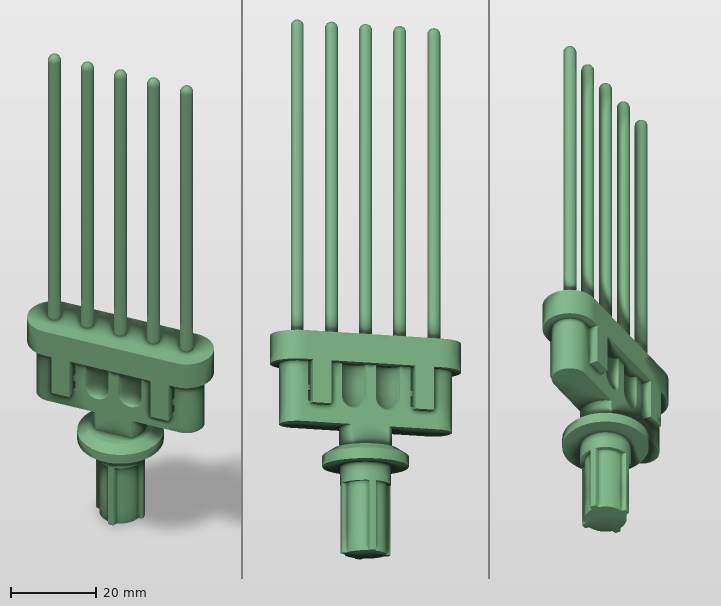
import cadquery as cq

total_height = 127.3
stem_step_z = 16.7
flange_bottom_z = 21.0
flange_edge_z = 23.5
flange_top_z = 25.1
barrel_bottom_z = 30.2
plate_bottom_z = 44.7
plate_top_z = 51.5

needle_count = 5
needle_pitch = 8.4
needle_diameter = 3.0
needle_head_diameter = 5.2
needle_head_cover = 0.4
row_length = (needle_count - 1) * needle_pitch

plate_length = 46.5
plate_width = plate_length - row_length
barrel_width = 8.5
barrel_length = row_length + barrel_width
barrel_face_y = barrel_width / 2

stem_diameter = 12.0
neck_diameter = 12.5
core_diameter = 9.9
stem_rib_tip_width = 1.4
stem_rib_root_width = 1.9
stem_rib_count = 4
flange_diameter = 20.4
flange_top_diameter = 15.7

flute_radius = 3.0
flute_axis_offset = 0.8
flute_end_z = 37.0
flute_places = (-needle_pitch / 2, needle_pitch / 2)

pad_width = 4.6
pad_bottom_z = 34.4
pad_places = (-3 * needle_pitch / 2, 3 * needle_pitch / 2)

pocket_width = 5.7
pocket_depth = 1.0
lower_pocket_z = (35.1, 37.7)
upper_pocket_z = (39.0, plate_bottom_z)


def block(x_size, y_size, bottom_z, top_z, x=0.0, y=0.0):
    """Upright box centred on (x, y)."""
    height = top_z - bottom_z
    return cq.Workplane("XY", origin=(x, y, bottom_z)).rect(x_size, y_size).extrude(height)


def disc(diameter, bottom_z, top_z, x=0.0):
    """Upright cylinder centred on (x, 0)."""
    height = top_z - bottom_z
    return cq.Workplane("XY", origin=(x, 0, bottom_z)).circle(diameter / 2).extrude(height)


def stadium(length, width, bottom_z, top_z):
    """Upright prism with round ends, long along X."""
    height = top_z - bottom_z
    return cq.Workplane("XY", origin=(0, 0, bottom_z)).slot2D(length, width).extrude(height)


def make_stem_ribs():
    """Ribs on the stem core that narrow outward and end flush with the collar."""
    tip_x = stem_diameter / 2
    root_x = core_diameter / 2
    rib_outline = [
        (0, -stem_rib_root_width / 2),
        (root_x, -stem_rib_root_width / 2),
        (tip_x, -stem_rib_tip_width / 2),
        (tip_x, stem_rib_tip_width / 2),
        (root_x, stem_rib_root_width / 2),
        (0, stem_rib_root_width / 2),
    ]
    rib = cq.Workplane("XY").polyline(rib_outline).close().extrude(stem_step_z)
    ribs = rib
    for turn in range(1, stem_rib_count):
        ribs = ribs.union(rib.rotate((0, 0, 0), (0, 0, 1), turn * 360 / stem_rib_count))
    return ribs.intersect(disc(stem_diameter, 0, stem_step_z))


def make_flange():
    """Round flange with a sloped upper rim."""
    flange = disc(flange_diameter, flange_bottom_z, flange_edge_z)
    slope = (
        cq.Workplane("XY", origin=(0, 0, flange_edge_z))
        .circle(flange_diameter / 2)
        .workplane(offset=flange_top_z - flange_edge_z)
        .circle(flange_top_diameter / 2)
        .loft()
    )
    return flange.union(slope)


def make_neck():
    """Round neck with flats in line with the barrel faces."""
    neck = disc(neck_diameter, flange_top_z, barrel_bottom_z)
    return neck.intersect(block(neck_diameter, barrel_width, flange_top_z, barrel_bottom_z))


def make_stem():
    """Ribbed stem with its plain collar, flange and neck."""
    core = disc(core_diameter, 0, stem_step_z)
    collar = disc(stem_diameter, stem_step_z, flange_bottom_z)
    return core.union(make_stem_ribs()).union(collar).union(make_flange()).union(make_neck())


def make_flute(x, y):
    """Cutter for an upright flute with a ball-shaped lower end."""
    ball = cq.Workplane("XY", origin=(x, y, flute_end_z)).sphere(flute_radius)
    channel = cq.Workplane("XY", origin=(x, y, flute_end_z)).circle(flute_radius)
    return channel.extrude(plate_bottom_z - flute_end_z).union(ball)


def make_pad(x, side):
    """Pad that stands out of one barrel face, flush with the edge of the plate."""
    back_y = barrel_face_y - pocket_depth
    front_y = plate_width / 2
    middle_y = side * (back_y + front_y) / 2
    return block(pad_width, front_y - back_y, pad_bottom_z, plate_bottom_z, x, middle_y)


def make_barrel():
    """Lower body: fluted, padded barrel on its stem."""
    barrel = stadium(barrel_length, barrel_width, barrel_bottom_z, plate_bottom_z)
    barrel = barrel.union(make_stem())
    for side in (-1, 1):
        face_y = side * barrel_face_y
        for x in flute_places:
            barrel = barrel.cut(make_flute(x, face_y + side * flute_axis_offset))
        for x in pad_places:
            for bottom_z, top_z in (lower_pocket_z, upper_pocket_z):
                barrel = barrel.cut(block(pocket_width, 2 * pocket_depth, bottom_z, top_z, x, face_y))
            barrel = barrel.union(make_pad(x, side))
    return barrel


def make_needle(x):
    """Round-tipped needle with a head that is held under the top of the plate."""
    tip_radius = needle_diameter / 2
    tip_base_z = total_height - tip_radius
    shank = disc(needle_diameter, plate_bottom_z, tip_base_z, x)
    tip = cq.Workplane("XY", origin=(x, 0, tip_base_z)).sphere(tip_radius)
    head = disc(needle_head_diameter, plate_bottom_z, plate_top_z - needle_head_cover, x)
    return shank.union(tip).union(head)


def make_plate(needles):
    """Cover plate with a fitting hole for every needle."""
    plate = stadium(plate_length, plate_width, plate_bottom_z, plate_top_z)
    for needle in needles:
        plate = plate.cut(needle)
    return plate


needles = [make_needle(i * needle_pitch - row_length / 2) for i in range(needle_count)]
plate = make_plate(needles)
barrel = make_barrel()

result = cq.Compound.makeCompound([barrel.val(), plate.val(), *[needle.val() for needle in needles]])